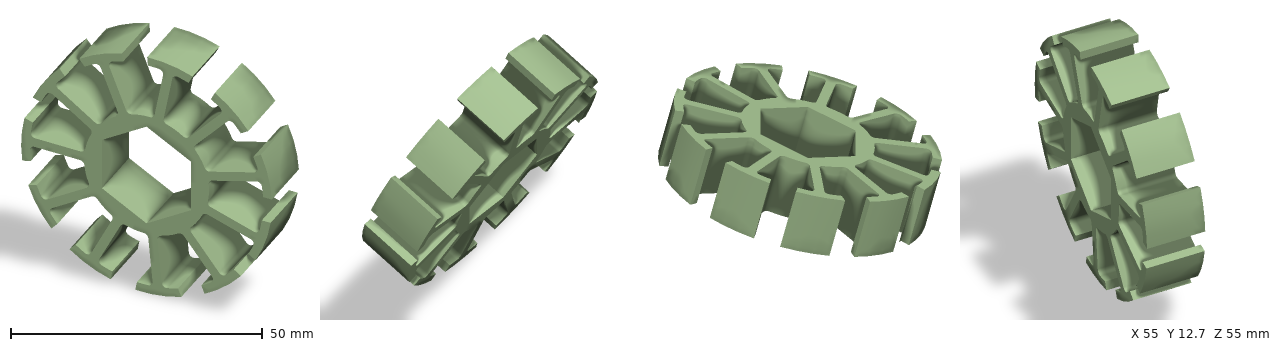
import cadquery as cq
import math

outer_diameter = 55.0
thickness = 12.65

hub_diameter = 27.4
hex_sides = 6
hex_across_flats = 19.5

tooth_count = 11
tooth_pitch = 360.0 / tooth_count
first_tooth_angle = 79.1
tooth_width = 2.05
tip_thickness = 1.9
slot_opening = 5.5
slot_fillet = 1.0

lip_length = 0.75
lip_thickness = 0.05
lip_tooth_index = 8

outer_radius = outer_diameter / 2
hub_radius = hub_diameter / 2
tip_inner_radius = outer_radius - tip_thickness


def back_face_plane():
    """Sketch plane on the +Y face, with X right and Z up; extrusions run towards -Y."""
    return cq.Workplane("XZ", origin=(0, thickness / 2, 0))


def turned(body, angle):
    """Turn a body about the part axis, from +X towards +Z for a positive angle."""
    return body.rotate((0, 0, 0), (0, -1, 0), angle)


def make_slot():
    """Winding slot centred on +X: a rounded chamber between two teeth, open to the outside."""
    half_pitch = math.radians(tooth_pitch / 2)

    def flank_point(radius, side):
        angle = side * (half_pitch - math.asin(tooth_width / 2 / radius))
        return (radius * math.cos(angle), radius * math.sin(angle))

    chamber = (
        back_face_plane()
        .moveTo(*flank_point(hub_radius, -1))
        .threePointArc((hub_radius, 0), flank_point(hub_radius, 1))
        .lineTo(*flank_point(tip_inner_radius, 1))
        .threePointArc((tip_inner_radius, 0), flank_point(tip_inner_radius, -1))
        .close()
        .extrude(thickness)
        .edges("|Y")
        .fillet(slot_fillet)
    )
    mid_radius = (hub_radius + tip_inner_radius) / 2
    opening_length = outer_radius
    opening = (
        back_face_plane()
        .center(mid_radius + opening_length / 2, 0)
        .rect(opening_length, slot_opening)
        .extrude(thickness)
    )
    return chamber.union(opening)


def make_lip():
    """Lip beyond the lower tip end of a tooth whose axis is +X."""
    lip_outer_radius = tip_inner_radius + lip_thickness
    tip_end_angle = tooth_pitch / 2 - math.degrees(math.asin(slot_opening / 2 / lip_outer_radius))
    lip_end_angle = tip_end_angle + math.degrees(lip_length / tip_inner_radius)

    def arc_point(radius, angle):
        return (radius * math.cos(math.radians(angle)), -radius * math.sin(math.radians(angle)))

    return (
        back_face_plane()
        .moveTo(*arc_point(tip_inner_radius, 0))
        .threePointArc(
            arc_point(tip_inner_radius, lip_end_angle / 2),
            arc_point(tip_inner_radius, lip_end_angle),
        )
        .lineTo(*arc_point(lip_outer_radius, lip_end_angle))
        .threePointArc(
            arc_point(lip_outer_radius, lip_end_angle / 2),
            arc_point(lip_outer_radius, 0),
        )
        .close()
        .extrude(thickness)
    )


def make_hex_bore():
    half_side_angle = 180.0 / hex_sides
    hex_across_corners = hex_across_flats / math.cos(math.radians(half_side_angle))
    bore = back_face_plane().polygon(hex_sides, hex_across_corners).extrude(thickness)
    return turned(bore, half_side_angle)


result = back_face_plane().circle(outer_radius).extrude(thickness).cut(make_hex_bore())
slot = make_slot()
for index in range(tooth_count):
    slot_angle = first_tooth_angle + (index + 0.5) * tooth_pitch
    result = result.cut(turned(slot, slot_angle))

lip_tooth_angle = first_tooth_angle + lip_tooth_index * tooth_pitch
result = result.union(turned(make_lip(), lip_tooth_angle))